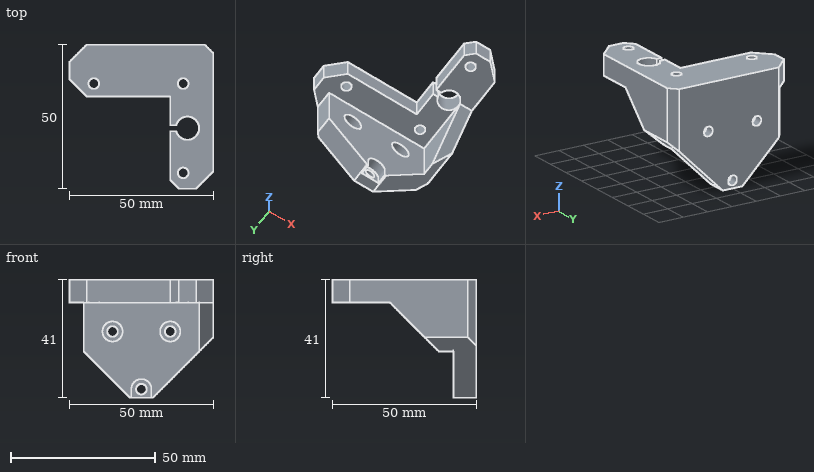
import cadquery as cq

SIDE = 50.0
HEIGHT = 41.0
THICKNESS = 8.0
PLATE_BOTTOM = HEIGHT - THICKNESS

BACK_ARM = 18.0
SIDE_ARM = 15.0
LARGE_CHAMFER = 6.0
SMALL_CHAMFER = 3.0
INNER_X = SIDE - SIDE_ARM
INNER_Y = SIDE - BACK_ARM

SCREW_DIAMETER = 3.6
SCREW_SPACING = 31.0
SCREW_LEFT = 8.5
SCREW_FRONT = 5.5
BORE_DIAMETER = 8.0
BORE_X = 41.0
BORE_Y = SCREW_FRONT + SCREW_SPACING / 2
SLOT_WIDTH = 2.0

WALL_LEFT = 5.0
WALL_CENTER = SIDE / 2
WALL_TIP_WIDTH = 8.0
TIP_LEFT = WALL_CENTER - WALL_TIP_WIDTH / 2
TIP_RIGHT = WALL_CENTER + WALL_TIP_WIDTH / 2
WALL_FRONT = SIDE - THICKNESS

COUNTERBORE_DIAMETER = 7.0
COUNTERBORE_DEPTH = 4.0
WALL_HOLE_SPACING = 20.0
UPPER_HOLE_Z = 23.0
LOWER_HOLE_Z = 3.0

GUSSET_THICKNESS = 5.0
GUSSET_LEFT = SIDE - GUSSET_THICKNESS
GUSSET_BOTTOM = GUSSET_LEFT - TIP_RIGHT
GUSSET_FRONT = 20.0
GUSSET_TOE_Y = GUSSET_FRONT + PLATE_BOTTOM - GUSSET_BOTTOM


def plate_prism(height):
    """L-shaped outline extruded upward from Z = 0."""
    outline = [
        (LARGE_CHAMFER, SIDE),
        (SIDE - SMALL_CHAMFER, SIDE),
        (SIDE, SIDE - SMALL_CHAMFER),
        (SIDE, LARGE_CHAMFER),
        (SIDE - LARGE_CHAMFER, 0),
        (INNER_X + SMALL_CHAMFER, 0),
        (INNER_X, SMALL_CHAMFER),
        (INNER_X, INNER_Y),
        (LARGE_CHAMFER, INNER_Y),
        (0, INNER_Y + LARGE_CHAMFER),
        (0, SIDE - LARGE_CHAMFER),
    ]
    return cq.Workplane("XY").polyline(outline).close().extrude(height)


def wall_prism(depth):
    """Tapered wall outline, with 45 degree lower edges, extruded forward from the back."""
    outline = [
        (WALL_LEFT, PLATE_BOTTOM),
        (WALL_LEFT, TIP_LEFT - WALL_LEFT),
        (TIP_LEFT, 0),
        (TIP_RIGHT, 0),
        (SIDE, SIDE - TIP_RIGHT),
        (SIDE, PLATE_BOTTOM),
    ]
    return cq.Workplane("XZ", origin=(0, SIDE, 0)).polyline(outline).close().extrude(depth)


def gusset():
    """Web under the side arm, trimmed below by the slope of the wall."""
    outline = [
        (SIDE, PLATE_BOTTOM),
        (GUSSET_FRONT, PLATE_BOTTOM),
        (GUSSET_TOE_Y, GUSSET_BOTTOM),
        (SIDE, GUSSET_BOTTOM),
    ]
    web = cq.Workplane("YZ", origin=(GUSSET_LEFT, 0, 0)).polyline(outline).close()
    return web.extrude(GUSSET_THICKNESS).intersect(wall_prism(SIDE))


def plate_cuts():
    """Screw holes, clamp bore and the slot that opens the bore to the inner edge."""
    left = SCREW_LEFT
    right = SCREW_LEFT + SCREW_SPACING
    front = SCREW_FRONT
    back = SCREW_FRONT + SCREW_SPACING
    base = cq.Workplane("XY", origin=(0, 0, PLATE_BOTTOM))
    screw_centers = [(left, back), (right, back), (right, front)]
    screws = base.pushPoints(screw_centers).circle(SCREW_DIAMETER / 2).extrude(THICKNESS)
    bore = base.center(BORE_X, BORE_Y).circle(BORE_DIAMETER / 2).extrude(THICKNESS)
    slot_length = BORE_X - INNER_X
    slot_center_x = INNER_X + slot_length / 2
    slot = base.center(slot_center_x, BORE_Y).rect(slot_length, SLOT_WIDTH).extrude(THICKNESS)
    return screws.union(bore).union(slot)


def wall_cuts():
    """Three counterbored holes; the lowest counterbore runs out through the tip."""
    half_spacing = WALL_HOLE_SPACING / 2
    centers = [
        (WALL_CENTER - half_spacing, UPPER_HOLE_Z),
        (WALL_CENTER + half_spacing, UPPER_HOLE_Z),
        (WALL_CENTER, LOWER_HOLE_Z),
    ]
    front = cq.Workplane("XZ", origin=(0, WALL_FRONT, 0))
    holes = front.pushPoints(centers).circle(SCREW_DIAMETER / 2).extrude(-THICKNESS)
    counterbores = front.pushPoints(centers).circle(COUNTERBORE_DIAMETER / 2).extrude(-COUNTERBORE_DEPTH)
    runout = front.center(WALL_CENTER, LOWER_HOLE_Z / 2).rect(COUNTERBORE_DIAMETER, LOWER_HOLE_Z)
    runout = runout.extrude(-COUNTERBORE_DEPTH)
    return holes.union(counterbores).union(runout)


plate = plate_prism(THICKNESS).translate((0, 0, PLATE_BOTTOM))
supports = wall_prism(THICKNESS).union(gusset()).intersect(plate_prism(HEIGHT))
result = plate.union(supports).cut(plate_cuts()).cut(wall_cuts())